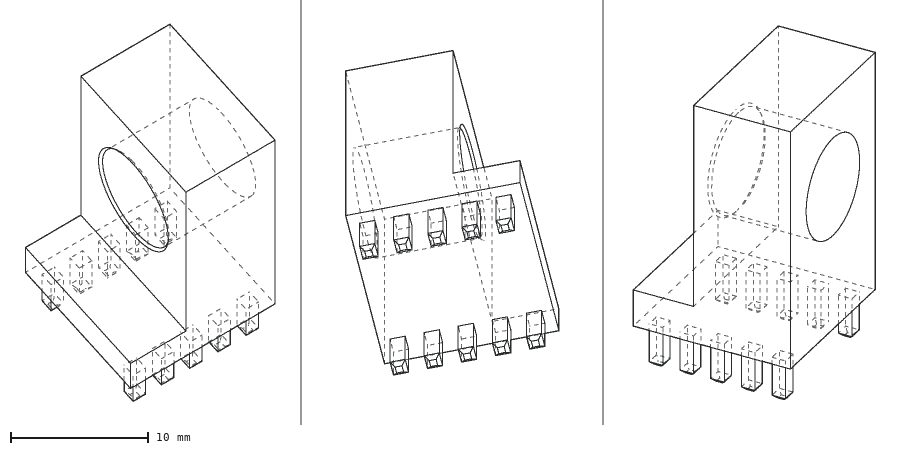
import cadquery as cq

total_height = 23.5
width = 13.0
depth = width
pin_length = 3.5
body_height = total_height - pin_length

block_depth = 8.01
ledge_height = 3.05
front_y = -depth / 2
back_y = depth / 2
block_front_y = back_y - block_depth

bore_diameter = 8.2
bore_drop = 8.0
bore_chamfer = 0.2

pin_width = 1.13
pin_tip_chamfer = 0.3
pins_per_row = 5
pin_pitch = 2.54
row_spacing = 4 * pin_pitch


def make_body():
    """L-shaped profile extruded across the width, with its underside at Z = 0."""
    profile = [
        (front_y, 0),
        (back_y, 0),
        (back_y, body_height),
        (block_front_y, body_height),
        (block_front_y, ledge_height),
        (front_y, ledge_height),
    ]
    return cq.Workplane("YZ").polyline(profile).close().extrude(width / 2, both=True)


def make_bore():
    """Cutter for the through bore along Y, flared at its front mouth for the chamfer."""
    mouth_center = cq.Vector(0, block_front_y, body_height - bore_drop)
    backward = cq.Vector(0, 1, 0)
    bore_radius = bore_diameter / 2
    mouth_radius = bore_radius + bore_chamfer
    bore = cq.Solid.makeCylinder(bore_radius, block_depth, mouth_center, backward)
    flare = cq.Solid.makeCone(mouth_radius, bore_radius, bore_chamfer, mouth_center, backward)
    return bore.fuse(flare)


def make_pin():
    """Square pin hanging below Z = 0, chamfered on all four sides of the tip."""
    shank = cq.Workplane("XY").rect(pin_width, pin_width).extrude(-pin_length)
    return shank.faces("<Z").chamfer(pin_tip_chamfer)


result = make_body().cut(make_bore())

pin = make_pin()
first_pin_y = -(pins_per_row - 1) * pin_pitch / 2
for row_x in (-row_spacing / 2, row_spacing / 2):
    for index in range(pins_per_row):
        pin_y = first_pin_y + index * pin_pitch
        result = result.union(pin.translate((row_x, pin_y, 0)))